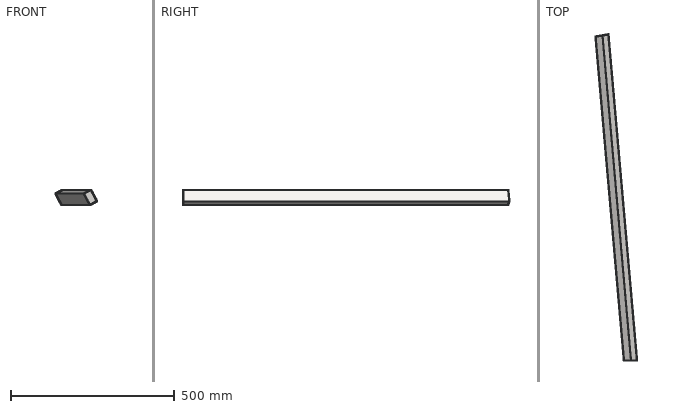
import cadquery as cq
import math

overall_x = 128.0
overall_y = 1001.0

section_depth = 40.0
section_thickness = 25.0
roll = 28.0
roll_rad = math.radians(roll)
section_width = section_depth * math.sin(roll_rad) + section_thickness * math.cos(roll_rad)

side_shift = overall_x - section_width

far_setback = 7.0
far_left_y = overall_y - far_setback
lean = side_shift / far_left_y

sweep_y = overall_y + section_width
near_section = (
    cq.Workplane("XZ")
    .rect(section_thickness, section_depth)
    .extrude(-10)
    .rotate((0, 0, 0), (0, 1, 0), -roll)
    .faces("<Y")
    .wires()
    .val()
)
sweep_vector = cq.Vector(-lean * sweep_y, sweep_y, 0)
bar = cq.Workplane(cq.Solid.extrudeLinear(near_section, [], sweep_vector))

far_left = (-section_width / 2 - lean * far_left_y, far_left_y)
far_right = (section_width / 2 - lean * overall_y, overall_y)

envelope = (
    cq.Workplane("XY")
    .moveTo(*far_left)
    .lineTo(*far_right)
    .lineTo(overall_x, overall_y)
    .lineTo(overall_x, 0)
    .lineTo(far_left[0], 0)
    .close()
    .extrude(section_depth + section_thickness, both=True)
)
result = bar.intersect(envelope)